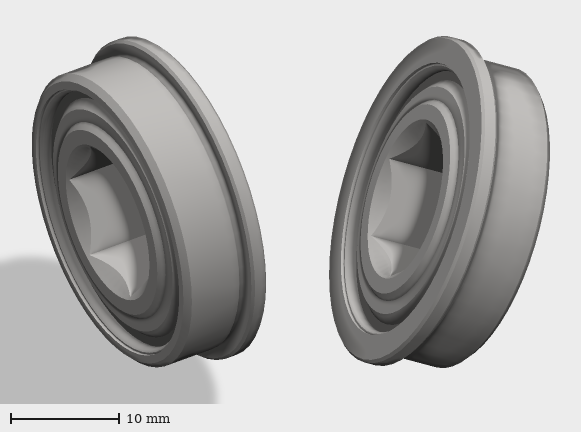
import cadquery as cq
import math

flange_diameter = 31.115
body_diameter = 28.575
width = 7.9375
flange_width = 1.5875
hex_across_flats = 12.7

flange_chamfer = 0.25
relief_depth = 0.2
relief_fillet = 0.19
relief_end = 2.14
body_edge_chamfer = 0.19
body_chamfer = 0.57

lip_radius = 12.95
lip_depth = 0.3
bead_inner_radius = 12.46
bead_arc_radius = 0.95
bead_depth = 1.0
recess_depth = 1.4
shield_outer_radius = 10.81
shield_depth = 0.57
shield_cone = recess_depth - shield_depth
inner_ring_radius = 9.0

bore_mouth_radius = 7.57

half_width = width / 2
flange_radius = flange_diameter / 2
body_radius = body_diameter / 2
relief_radius = body_radius - relief_depth


def revolve_about_axis(profile):
    """Revolve a closed (radius, y) profile about the Y axis."""
    return profile.close().revolve(360, (0, 0, 0), (0, 1, 0))


def outer_form():
    """Solid disc with the flange, relief groove and chamfered body."""
    front = -half_width
    back = half_width
    flange_front = back - flange_width
    groove_front = back - relief_end
    fillet_bulge = relief_fillet * (1 - math.sqrt(0.5))
    fillet_middle = (relief_radius + fillet_bulge, flange_front - fillet_bulge)
    return revolve_about_axis(
        cq.Workplane("XY")
        .moveTo(0, front)
        .lineTo(body_radius - body_chamfer, front)
        .lineTo(body_radius, front + body_chamfer)
        .lineTo(body_radius, groove_front - body_edge_chamfer)
        .lineTo(body_radius - body_edge_chamfer, groove_front)
        .lineTo(relief_radius, groove_front)
        .lineTo(relief_radius, flange_front - relief_fillet)
        .threePointArc(fillet_middle, (relief_radius + relief_fillet, flange_front))
        .lineTo(flange_radius - flange_chamfer, flange_front)
        .lineTo(flange_radius, flange_front + flange_chamfer)
        .lineTo(flange_radius, back - flange_chamfer)
        .lineTo(flange_radius - flange_chamfer, back)
        .lineTo(0, back)
    )


def bead_radius_at(depth):
    """Distance of the bead's arc from the bearing axis at a depth below the face."""
    offset = depth - bead_depth
    arc_centre_radius = bead_inner_radius + bead_arc_radius
    return arc_centre_radius - math.sqrt(bead_arc_radius ** 2 - offset ** 2)


def shield_recess():
    """Ring-shaped cutter for the front face, leaving the stepped shield."""
    front = -half_width
    lip = front + lip_depth
    shield = front + shield_depth
    floor = front + recess_depth
    bead_tip = (bead_inner_radius, front + bead_depth)
    return revolve_about_axis(
        cq.Workplane("XY")
        .moveTo(lip_radius, front)
        .lineTo(lip_radius, lip)
        .lineTo(bead_radius_at(lip_depth), lip)
        .threePointArc(bead_tip, (bead_radius_at(recess_depth), floor))
        .lineTo(shield_outer_radius + shield_cone, floor)
        .lineTo(shield_outer_radius, shield)
        .lineTo(inner_ring_radius + shield_depth, shield)
        .lineTo(inner_ring_radius, front)
    )


def hex_bore():
    """Through hexagon with its flats facing +Z and -Z."""
    across_corners = hex_across_flats / math.cos(math.pi / 6)
    return (
        cq.Workplane("XZ")
        .polygon(6, across_corners)
        .extrude(half_width, both=True)
    )


def bore_countersink():
    """45 degree cone cutter for the front mouth of the bore."""
    return revolve_about_axis(
        cq.Workplane("XY")
        .moveTo(0, -half_width)
        .lineTo(bore_mouth_radius, -half_width)
        .lineTo(0, bore_mouth_radius - half_width)
    )


result = outer_form().cut(hex_bore())
for face_cutter in (shield_recess(), bore_countersink()):
    result = result.cut(face_cutter).cut(face_cutter.mirror("XZ"))